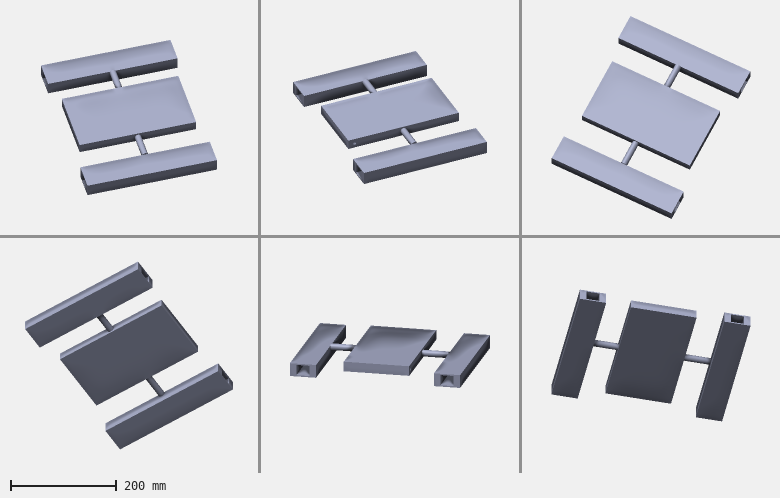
import cadquery as cq

overall_length = 330.2
module = overall_length / 13

tube_width = 2 * module
tube_height = module
tube_length = 10 * module
tube_bore_width = module
tube_bore_height = 0.8 * module
tube_offset = (overall_length - tube_width) / 2

plate_width = 5 * module
plate_length = 9 * module
plate_thickness = 0.75 * module
plate_mid_height = 0.875 * module

rod_diameter = 0.5 * module
rod_span = overall_length - 2 * tube_width

pin_hole_diameter = 0.25 * module
pin_hole_depth = module
pin_hole_inset = 0.5 * module


def rod_along_x(diameter, length, start_x, y):
    """Cylinder along +X at the mid height of the plate."""
    axis_plane = cq.Plane.YZ(origin=(start_x, y, plate_mid_height))
    return cq.Workplane(axis_plane).circle(diameter / 2).extrude(length)


def side_tube(center_x):
    """Rectangular tube open at both Y ends."""
    center = (center_x, 0, tube_height / 2)
    outer = cq.Workplane().box(tube_width, tube_length, tube_height)
    bore = cq.Workplane().box(tube_bore_width, tube_length, tube_bore_height)
    return outer.cut(bore).translate(center)


def center_plate():
    """Flat plate with the pin hole in one edge."""
    plate = cq.Workplane().box(plate_width, plate_length, plate_thickness)
    plate = plate.translate((0, 0, plate_mid_height))
    hole_y = plate_length / 2 - pin_hole_inset
    return plate.cut(rod_along_x(pin_hole_diameter, pin_hole_depth, -plate_width / 2, hole_y))


result = center_plate().union(rod_along_x(rod_diameter, rod_span, -rod_span / 2, 0))
for side in (-1, 1):
    result = result.union(side_tube(side * tube_offset))